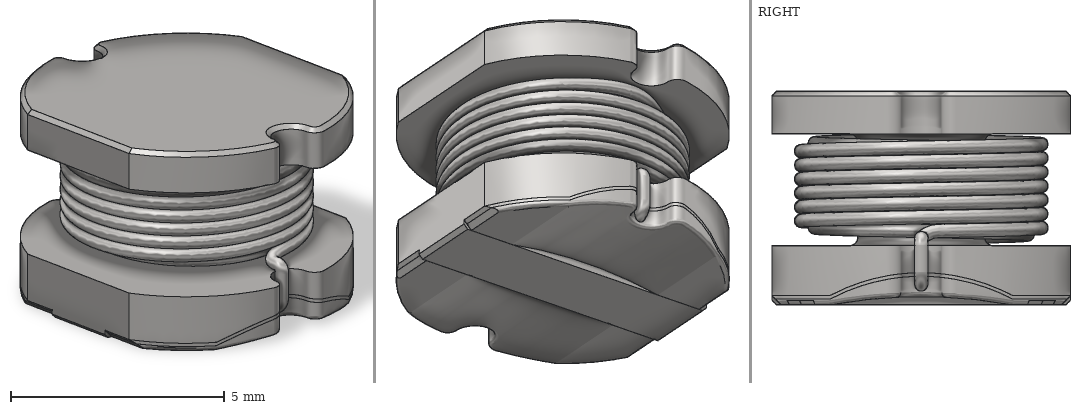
import cadquery as cq
import math

LENGTH = 7.65
WIDTH = 7.0
HEIGHT = 5.0
LOWER_FLANGE = 1.385
UPPER_FLANGE = 1.0
UPPER_FLANGE_BOTTOM = HEIGHT - UPPER_FLANGE
POST_RADIUS = 1.49
POST_FILLET = 0.19
RIM_CHAMFER = 0.11

NOTCH_RADIUS = 0.48
LIP_RADIUS = 0.27
NOTCH_CENTRE_X = LENGTH / 2 - LIP_RADIUS
LIP_CENTRE_Y = NOTCH_RADIUS + LIP_RADIUS
LIP_CENTRE_DISTANCE = math.hypot(NOTCH_CENTRE_X, LIP_CENTRE_Y)
FLANGE_RADIUS = LIP_CENTRE_DISTANCE + LIP_RADIUS
FLAT_HALF_LENGTH = math.sqrt(FLANGE_RADIUS**2 - (WIDTH / 2) ** 2)

STRIP_HALF_WIDTH = 0.9
RECESS_DEPTH = 0.215
RECESS_CROWN = 0.75
RECESS_ARCH_HALF_SPAN = 2.14
PLATING_THICKNESS = 0.085
SOLDER_CROWN = 0.19
SOLDER_ARCH_HALF_SPAN = 2.1
SOLDER_EDGE_FILLET = 0.1

WIRE_DIAMETER = 0.31
WIRE_RADIUS = WIRE_DIAMETER / 2
LAYER_SPACING = 0.32
INNER_LAYER_RADIUS = 2.495
OUTER_LAYER_RADIUS = INNER_LAYER_RADIUS + LAYER_SPACING
CROSSOVER_RADIUS = 2.9
CROSSOVER_HALF_ANGLE = 37.0
FULL_TURNS = 6
INNER_WINDING_TOP = 3.83
OUTER_WINDING_TOP = 3.81
INNER_WINDING_BOTTOM = 1.575
OUTER_WINDING_BOTTOM = 1.73
INNER_START_ANGLE = 168.0
OUTER_START_ANGLE = 8.0

LEAD_Z = 1.56
LEAD_X = 3.235
LEAD_BEND_RADIUS = 0.16
FOOT_BEND_TOP = 0.76
FOOT_BEND_RADIUS = 0.305
INNER_LEAD_START_X = 2.75
OUTER_LEAD_START_X = 3.03


def circle_point(centre, radius, degrees):
    """Point (x, y) on a circle at an angle measured from +X."""
    angle = math.radians(degrees)
    return (centre[0] + radius * math.cos(angle), centre[1] + radius * math.sin(angle))


def flange_blank(bottom, height):
    """A round plate with two flats and a notch at each end of X."""
    lip_angle = math.degrees(math.atan2(LIP_CENTRE_Y, NOTCH_CENTRE_X))
    disc = (
        cq.Workplane("XY", origin=(0, 0, bottom))
        .circle(FLANGE_RADIUS)
        .extrude(height)
        .intersect(cq.Workplane("XY").box(2 * LENGTH, WIDTH, 4 * HEIGHT))
    )
    centre = (NOTCH_CENTRE_X, LIP_CENTRE_Y)
    rim = circle_point(centre, LIP_RADIUS, lip_angle)
    lip_middle = circle_point(centre, LIP_RADIUS, (lip_angle - 90) / 2)
    notch = (
        cq.Workplane("XY", origin=(0, 0, bottom))
        .moveTo(NOTCH_CENTRE_X, -NOTCH_RADIUS)
        .threePointArc((NOTCH_CENTRE_X - NOTCH_RADIUS, 0), (NOTCH_CENTRE_X, NOTCH_RADIUS))
        .threePointArc(lip_middle, rim)
        .lineTo(LENGTH, rim[1])
        .lineTo(LENGTH, -rim[1])
        .lineTo(rim[0], -rim[1])
        .threePointArc((lip_middle[0], -lip_middle[1]), (NOTCH_CENTRE_X, -NOTCH_RADIUS))
        .close()
        .extrude(height)
    )
    return disc.cut(notch).cut(notch.mirror("YZ"))


def arched_slab(shoulder, crown, half_span):
    """Everything on the +X terminal side that lies below an arch along Y with flat shoulders."""
    return (
        cq.Workplane("YZ", origin=(STRIP_HALF_WIDTH, 0, 0))
        .moveTo(-LENGTH, -HEIGHT)
        .lineTo(-LENGTH, shoulder)
        .lineTo(-half_span, shoulder)
        .threePointArc((0, crown), (half_span, shoulder))
        .lineTo(LENGTH, shoulder)
        .lineTo(LENGTH, -HEIGHT)
        .close()
        .extrude(LENGTH)
    )


def recess_slab(drop):
    """The terminal recess with its ceiling lowered by a distance."""
    return arched_slab(RECESS_DEPTH, RECESS_CROWN, RECESS_ARCH_HALF_SPAN).translate((0, 0, -drop))


def solder_floor():
    """Space under the solder pad, up to a shallow arch."""
    return arched_slab(0, SOLDER_CROWN, SOLDER_ARCH_HALF_SPAN)


def bevel_flat_ends(body):
    """Cut 45 degree bevels from the terminal ends that meet the flats of the flange."""
    bevel = (
        cq.Workplane("YZ")
        .moveTo(WIDTH / 2, RECESS_DEPTH)
        .lineTo(WIDTH / 2 - RECESS_DEPTH, 0)
        .lineTo(WIDTH / 2, 0)
        .close()
        .extrude(LENGTH)
    )
    return body.cut(bevel).cut(bevel.mirror("XZ"))


def make_core():
    """Two flanges joined by a filleted post, with a terminal recess at each end of the lower one."""
    lower = flange_blank(0, LOWER_FLANGE).faces("<Z").edges("|X").chamfer(RIM_CHAMFER)
    upper = flange_blank(UPPER_FLANGE_BOTTOM, UPPER_FLANGE).faces(">Z").edges().chamfer(RIM_CHAMFER)
    post_top = UPPER_FLANGE_BOTTOM
    flare = POST_RADIUS + POST_FILLET
    diagonal = POST_FILLET * math.sqrt(0.5)
    post = (
        cq.Workplane("XZ")
        .moveTo(0, LOWER_FLANGE)
        .lineTo(flare, LOWER_FLANGE)
        .threePointArc(
            (flare - diagonal, LOWER_FLANGE + POST_FILLET - diagonal),
            (POST_RADIUS, LOWER_FLANGE + POST_FILLET),
        )
        .lineTo(POST_RADIUS, post_top - POST_FILLET)
        .threePointArc((flare - diagonal, post_top - POST_FILLET + diagonal), (flare, post_top))
        .lineTo(0, post_top)
        .close()
        .revolve(360, (0, 0, 0), (0, 1, 0))
    )
    recess = recess_slab(0)
    lower = lower.cut(recess).cut(recess.mirror("YZ"))
    return lower.union(post).union(upper)


def make_plating():
    """Thin sheet that lines the ceiling of the +X recess."""
    sheet = flange_blank(0, LOWER_FLANGE).intersect(recess_slab(0)).cut(recess_slab(PLATING_THICKNESS))
    return bevel_flat_ends(sheet)


def make_solder():
    """Pad that fills the +X recess below the plating, with a rounded lower rim."""
    centre_x = STRIP_HALF_WIDTH + LENGTH / 2
    terminal_side = cq.Workplane("XY", origin=(centre_x, 0, 0)).box(LENGTH, LENGTH, HEIGHT)
    block = flange_blank(0, LOWER_FLANGE).intersect(terminal_side).cut(solder_floor())
    rim_zone = cq.selectors.BoxSelector((FLAT_HALF_LENGTH, -LENGTH, -HEIGHT), (LENGTH, LENGTH, SOLDER_CROWN))
    block = block.edges("%CIRCLE or %BSPLINE").edges(rim_zone).fillet(SOLDER_EDGE_FILLET)
    return bevel_flat_ends(block.intersect(recess_slab(PLATING_THICKNESS)))


def helix_edge(radius, bottom, top, start_angle, sweep, left_handed=False):
    """Helix about Z that rises from start_angle while it turns through sweep degrees."""
    rise = top - bottom
    helix = cq.Wire.makeHelix(rise * 360 / sweep, rise, radius, lefthand=left_handed)
    helix = helix.rotate(cq.Vector(0, 0, 0), cq.Vector(0, 0, 1), start_angle)
    return helix.translate(cq.Vector(0, 0, bottom)).Edges()[0]


def foot_edge(side):
    """Quarter bend that turns the bottom of a lead from the notch into the terminal."""
    start = cq.Vector(side * LEAD_X, 0, FOOT_BEND_TOP)
    end = cq.Vector(side * (LEAD_X - FOOT_BEND_RADIUS), 0, FOOT_BEND_TOP - FOOT_BEND_RADIUS)
    return cq.Edge.makeTangentArc(start, cq.Vector(0, 0, -1), end)


def lead_edges(side, start_x):
    """Lead that runs out along X and down the notch to its foot; side is 1 for +X, -1 for -X."""
    bend_start = cq.Vector(side * (LEAD_X - LEAD_BEND_RADIUS), 0, LEAD_Z)
    bend_end = cq.Vector(side * LEAD_X, 0, LEAD_Z - LEAD_BEND_RADIUS)
    foot = foot_edge(side)
    return [
        cq.Edge.makeLine(cq.Vector(side * start_x, 0, LEAD_Z), bend_start),
        cq.Edge.makeTangentArc(bend_start, cq.Vector(side, 0, 0), bend_end),
        cq.Edge.makeLine(bend_end, foot.startPoint()),
        foot,
    ]


def lead_in_edge(helix, lead):
    """Smooth link from the bottom of a helix to the first edge of its lead."""
    return cq.Edge.makeSpline(
        [helix.startPoint(), lead[0].startPoint()],
        tangents=[-helix.tangentAt(0), lead[0].tangentAt(0)],
    )


def crossover_edge(inner, outer):
    """Link between the tops of the two layers, bulging outwards at -X."""
    middle = cq.Vector(-CROSSOVER_RADIUS, 0, INNER_WINDING_TOP)
    return cq.Edge.makeSpline(
        [inner.endPoint(), middle, outer.endPoint()],
        tangents=[inner.tangentAt(1), -outer.tangentAt(1)],
    )


def wire_along(edge, follows_helix=False):
    """Piece of round wire along one edge, with flat ends."""
    start = cq.Plane(origin=edge.startPoint().toTuple(), normal=edge.tangentAt(0).toTuple())
    spine = cq.Workplane(cq.Wire.assembleEdges([edge]))
    return cq.Workplane(start).circle(WIRE_RADIUS).sweep(spine, isFrenet=follows_helix)


def wire_skin(edge, follows_helix=False):
    """Round surface of the wire along one edge, open at both ends."""
    return wire_along(edge, follows_helix).faces("not %PLANE").vals()


def wire_end(edge):
    """Flat face that closes the wire at the end of an edge."""
    rim = cq.Wire.makeCircle(WIRE_RADIUS, edge.endPoint(), edge.tangentAt(1))
    return cq.Face.makeFromWires(rim)


def make_coil():
    """One wire that climbs the inner layer, crosses over at the top and descends the outer layer."""
    inner = helix_edge(
        INNER_LAYER_RADIUS,
        INNER_WINDING_BOTTOM,
        INNER_WINDING_TOP,
        INNER_START_ANGLE,
        360 * FULL_TURNS + INNER_START_ANGLE + 180 - CROSSOVER_HALF_ANGLE,
        left_handed=True,
    )
    outer = helix_edge(
        OUTER_LAYER_RADIUS,
        OUTER_WINDING_BOTTOM,
        OUTER_WINDING_TOP,
        OUTER_START_ANGLE,
        360 * FULL_TURNS + 180 - CROSSOVER_HALF_ANGLE - OUTER_START_ANGLE,
    )
    skin = wire_skin(inner, follows_helix=True) + wire_skin(outer, follows_helix=True)
    skin += wire_skin(crossover_edge(inner, outer))
    for side, helix, start_x in ((-1, inner, INNER_LEAD_START_X), (1, outer, OUTER_LEAD_START_X)):
        lead = lead_edges(side, start_x)
        for edge in (lead_in_edge(helix, lead), *lead):
            skin += wire_skin(edge)
        skin.append(wire_end(lead[-1]))
    return cq.Workplane(cq.Solid.makeSolid(cq.Shell.makeShell(skin)))


core = make_core()
coil = make_coil()
foot_hole = wire_along(foot_edge(1))
plating = make_plating().cut(foot_hole)
solder = make_solder().cut(foot_hole)

bodies = [core.solids().val(), coil.val()]
for terminal_part in (plating, solder):
    for placed_part in (terminal_part, terminal_part.mirror("YZ")):
        bodies.append(placed_part.solids().val())

result = cq.Compound.makeCompound(bodies)